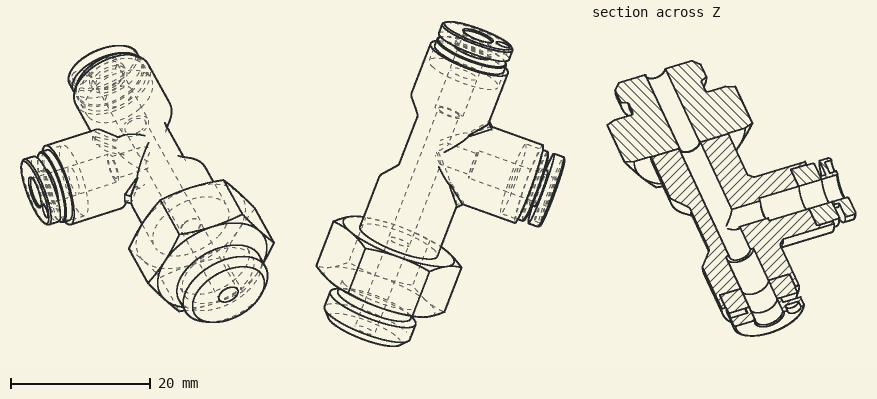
import cadquery as cq
import math


ARM_LENGTH = 14.5
ARM_DIAMETER = 11.9
NECK_DIAMETER = 7.9
NECK_HALF_LENGTH = 4.0
SHOULDER_END = 6.5
SHOULDER_FILLET = 0.5
FLOW_BORE_DIAMETER = 3.2
TUBE_BORE_DIAMETER = 4.18
TUBE_STOP = 6.0
WEB_THICKNESS = 1.6
WEB_REACH = 6.65

COLLAR_DIAMETER = 10.6
COLLAR_PROTRUSION = 1.1
COLLAR_DEPTH = 2.4
COLLAR_CHAMFER = 0.15

STEM_DIAMETER = 5.5
BUTTON_GAP = 0.8
BUTTON_THICKNESS = 1.7
BUTTON_WIDTH = 10.8
BUTTON_HEIGHT = 8.65
BUTTON_CHAMFER = 0.25
BUTTON_BORE_DIAMETER = 4.2
TUBE_ENTRY_CHAMFER = 0.2
MARK_DIAMETER = 2.0
MARK_OFFSET = 3.8
MARK_DEPTH = 1.0

HEX_ACROSS_FLATS = 17.0
HEX_LENGTH = 8.0
HEX_CHAMFER_ANGLE = 20.0
STUD_LENGTH = 6.0
GROOVE_DIAMETER = 11.2
GROOVE_LENGTH = 2.05
GROOVE_FILLET = 0.35
THREAD_DIAMETER = 13.16
THREAD_LEAD_IN = 0.5
STUD_END_DIAMETER = 11.2
STUD_END_CHAMFER = 1.1
STUD_BORE_DIAMETER = 3.0

COLLAR_INNER = ARM_LENGTH - COLLAR_DEPTH
COLLAR_FACE = ARM_LENGTH + COLLAR_PROTRUSION
BUTTON_BACK = COLLAR_FACE + BUTTON_GAP
BUTTON_FACE = BUTTON_BACK + BUTTON_THICKNESS

LEFT_PORT = 0
BRANCH_PORT = 90
STUD_SIDE = 180
PUSH_IN_PORTS = (LEFT_PORT, BRANCH_PORT)


def turned(shape, angle):
    """Turn a shape made for the left (-X) port about Z to another port."""
    return shape.rotate((0, 0, 0), (0, 0, 1), angle)


def left_rod(diameter, start, end):
    """Round rod on the left port axis, between two distances from the origin."""
    return cq.Workplane("YZ", origin=(-end, 0, 0)).circle(diameter / 2).extrude(end - start)


def make_arm():
    """One housing arm: neck, conical shoulder and wide socket."""
    arm = (
        cq.Workplane("XY")
        .polyline([
            (0, 0),
            (0, NECK_DIAMETER / 2),
            (-NECK_HALF_LENGTH, NECK_DIAMETER / 2),
            (-SHOULDER_END, ARM_DIAMETER / 2),
            (-ARM_LENGTH, ARM_DIAMETER / 2),
            (-ARM_LENGTH, 0),
        ])
        .close()
        .revolve(360, (0, 0, 0), (1, 0, 0))
    )
    margin = 0.1
    shoulder_edges = cq.selectors.BoxSelector(
        (-SHOULDER_END - margin, -ARM_DIAMETER, -ARM_DIAMETER),
        (-NECK_HALF_LENGTH + margin, ARM_DIAMETER, ARM_DIAMETER),
    )
    return arm.edges("%CIRCLE").edges(shoulder_edges).fillet(SHOULDER_FILLET)


def make_web():
    """Thin web filling the corner between the left arm and the branch."""
    side = ARM_DIAMETER / 2
    return (
        cq.Workplane("XY", origin=(0, 0, -WEB_THICKNESS / 2))
        .polyline([(0, 0), (-WEB_REACH, 0), (-WEB_REACH, -side), (-side, -WEB_REACH), (0, -WEB_REACH)])
        .close()
        .extrude(WEB_THICKNESS)
    )


def make_housing():
    """Tee housing with flow bores, tube sockets and collar seats."""
    housing = turned(make_arm(), LEFT_PORT)
    for angle in (STUD_SIDE, BRANCH_PORT):
        housing = housing.union(turned(make_arm(), angle))
    for angle in (LEFT_PORT, BRANCH_PORT):
        housing = housing.union(turned(make_web(), angle))
    for angle in (LEFT_PORT, BRANCH_PORT, STUD_SIDE):
        housing = housing.cut(turned(left_rod(FLOW_BORE_DIAMETER, 0, ARM_LENGTH), angle))
    for angle in PUSH_IN_PORTS:
        housing = housing.cut(turned(left_rod(TUBE_BORE_DIAMETER, TUBE_STOP, ARM_LENGTH), angle))
        housing = housing.cut(turned(left_rod(COLLAR_DIAMETER, COLLAR_INNER, ARM_LENGTH), angle))
    return housing


def make_collar():
    """Collar partly sunk in the housing, its outer face carrying the button stem."""
    collar = left_rod(COLLAR_DIAMETER, COLLAR_INNER, COLLAR_FACE).faces("<X").edges().chamfer(COLLAR_CHAMFER)
    return collar.cut(left_rod(TUBE_BORE_DIAMETER, COLLAR_INNER, COLLAR_FACE))


def make_button():
    """Release button: elliptical head with a round mark, and a short stem standing on the collar."""
    head = (
        cq.Workplane("YZ", origin=(-BUTTON_FACE, 0, 0))
        .ellipse(BUTTON_WIDTH / 2, BUTTON_HEIGHT / 2)
        .extrude(BUTTON_THICKNESS)
    )
    head = head.faces("<X").edges().chamfer(BUTTON_CHAMFER)

    button = head.union(left_rod(STEM_DIAMETER, COLLAR_FACE, BUTTON_BACK))
    button = button.cut(left_rod(BUTTON_BORE_DIAMETER, COLLAR_FACE, BUTTON_FACE))
    entry_edge = cq.selectors.RadiusNthSelector(0)
    button = button.faces("<X").edges("%CIRCLE").edges(entry_edge).chamfer(TUBE_ENTRY_CHAMFER)

    mark = left_rod(MARK_DIAMETER, BUTTON_FACE - MARK_DEPTH, BUTTON_FACE)
    return button.cut(mark.translate((0, -MARK_OFFSET, 0)))


def make_hexagon():
    """Hexagon with flats facing +Z and -Z and its corners turned down at both ends."""
    corner_radius = HEX_ACROSS_FLATS / math.sqrt(3)
    flat_radius = HEX_ACROSS_FLATS / 2
    drop = (corner_radius - flat_radius) * math.tan(math.radians(HEX_CHAMFER_ANGLE))
    start = ARM_LENGTH
    end = ARM_LENGTH + HEX_LENGTH
    prism = cq.Workplane("YZ", origin=(start, 0, 0)).polygon(6, 2 * corner_radius).extrude(HEX_LENGTH)
    turned_blank = (
        cq.Workplane("XY")
        .polyline([
            (start, 0),
            (start, flat_radius),
            (start + drop, corner_radius),
            (end - drop, corner_radius),
            (end, flat_radius),
            (end, 0),
        ])
        .close()
        .revolve(360, (0, 0, 0), (1, 0, 0))
    )
    return prism.intersect(turned_blank)


def make_stud():
    """Male stud: hexagon, relief groove and plain cylindrical end for the thread."""
    start = ARM_LENGTH + HEX_LENGTH
    groove_end = start + GROOVE_LENGTH
    end = start + STUD_LENGTH
    groove_radius = GROOVE_DIAMETER / 2
    thread_radius = THREAD_DIAMETER / 2
    spigot = (
        cq.Workplane("XY")
        .moveTo(start, 0)
        .lineTo(start, groove_radius + GROOVE_FILLET)
        .radiusArc((start + GROOVE_FILLET, groove_radius), -GROOVE_FILLET)
        .lineTo(groove_end, groove_radius)
        .lineTo(groove_end + THREAD_LEAD_IN, thread_radius)
        .lineTo(end - STUD_END_CHAMFER, thread_radius)
        .lineTo(end, STUD_END_DIAMETER / 2)
        .lineTo(end, 0)
        .close()
        .revolve(360, (0, 0, 0), (1, 0, 0))
    )
    bore = turned(left_rod(STUD_BORE_DIAMETER, ARM_LENGTH, end), STUD_SIDE)
    return make_hexagon().union(spigot).cut(bore)


housing = make_housing()
stud = make_stud()
collars = [turned(make_collar(), angle) for angle in PUSH_IN_PORTS]
buttons = [turned(make_button(), angle) for angle in PUSH_IN_PORTS]

result = cq.Compound.makeCompound([
    housing.val(),
    stud.val(),
    *[collar.val() for collar in collars],
    *[button.val() for button in buttons],
])